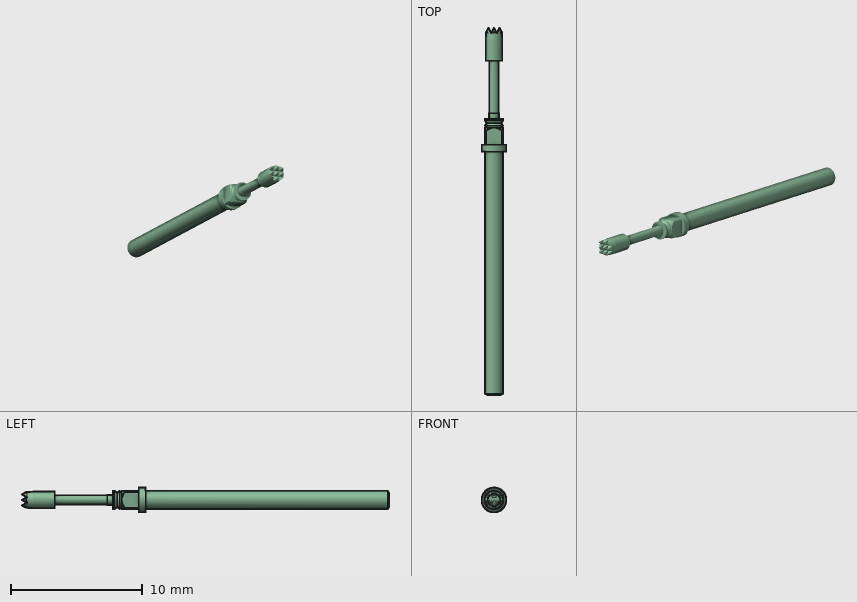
import cadquery as cq

LENGTH = 27.9
TIP_Y = LENGTH / 2

HEAD_RADIUS = 0.65
HEAD_END = 2.5
CROWN_LENGTH = 0.86
CROWN_TIP_RADIUS = 0.59
TOOTH_ROWS = 3
TOOTH_PITCH = 0.42
TOOTH_DEPTH = 0.4

STEM_RADIUS = 0.35
STEM_NECK_START = 6.5
STEM_NECK_RADIUS = 0.4

COLLAR_START = 6.92
COLLAR_RADIUS = 0.7
COLLAR_RIM_END = 7.03
WAIST_POSITION = 7.25
WAIST_RADIUS = 0.55
RIDGE_POSITION = 7.45
COLLAR_NECK_RADIUS = 0.6

SQUARE_START = 7.6
SQUARE_WIDTH = 1.4
SQUARE_CORNER_RADIUS = 0.92
SQUARE_LEAD_IN = SQUARE_CORNER_RADIUS - COLLAR_RADIUS

FLANGE_START = 8.87
FLANGE_END = 9.4
FLANGE_RADIUS = 0.95
BARREL_RADIUS = 0.7
BARREL_TAPER_LENGTH = 0.1
BARREL_END_RADIUS = 0.47


def revolve_profile(stations):
    """Revolve (distance from tip, radius) stations about the Y axis."""
    outline = [(radius, TIP_Y - distance) for distance, radius in stations]
    first_y = outline[0][1]
    last_y = outline[-1][1]
    points = [(0, first_y)] + outline + [(0, last_y)]
    return cq.Workplane("XY").polyline(points).close().revolve(360, (0, 0, 0), (0, 1, 0))


def make_plunger():
    """Tapered crown, head, stem and neck."""
    stations = [
        (0, CROWN_TIP_RADIUS),
        (CROWN_LENGTH, HEAD_RADIUS),
        (HEAD_END, HEAD_RADIUS),
        (HEAD_END, STEM_RADIUS),
        (STEM_NECK_START, STEM_RADIUS),
        (STEM_NECK_START, STEM_NECK_RADIUS),
        (COLLAR_START, STEM_NECK_RADIUS),
    ]
    return revolve_profile(stations)


def cut_teeth(plunger):
    """Cut crossing rows of V grooves, leaving a 3 x 3 grid of pyramid teeth."""
    first_valley = -TOOTH_ROWS * TOOTH_PITCH / 2
    for row in range(TOOTH_ROWS + 1):
        valley_x = first_valley + row * TOOTH_PITCH
        groove = (
            cq.Workplane("XY")
            .moveTo(valley_x - TOOTH_PITCH / 2, TIP_Y)
            .lineTo(valley_x, TIP_Y - TOOTH_DEPTH)
            .lineTo(valley_x + TOOTH_PITCH / 2, TIP_Y)
            .close()
            .extrude(2 * HEAD_RADIUS, both=True)
        )
        crossing_groove = groove.rotate((0, 0, 0), (0, 1, 0), 90)
        plunger = plunger.cut(groove).cut(crossing_groove)
    return plunger


def make_collar():
    """Rim, V-shaped waist and sharp ridge ahead of the square."""
    stations = [
        (COLLAR_START, COLLAR_RADIUS),
        (COLLAR_RIM_END, COLLAR_RADIUS),
        (WAIST_POSITION, WAIST_RADIUS),
        (RIDGE_POSITION, COLLAR_RADIUS),
        (RIDGE_POSITION, COLLAR_NECK_RADIUS),
        (SQUARE_START, COLLAR_NECK_RADIUS),
    ]
    return revolve_profile(stations)


def make_square():
    """Square section with rounded corners and a conical lead-in."""
    stations = [
        (SQUARE_START, COLLAR_RADIUS),
        (SQUARE_START + SQUARE_LEAD_IN, SQUARE_CORNER_RADIUS),
        (FLANGE_START, SQUARE_CORNER_RADIUS),
    ]
    prism = cq.Workplane("XY").box(SQUARE_WIDTH, LENGTH, SQUARE_WIDTH)
    return revolve_profile(stations).intersect(prism)


def make_barrel():
    """Stop flange and barrel with a tapered end."""
    stations = [
        (FLANGE_START, FLANGE_RADIUS),
        (FLANGE_END, FLANGE_RADIUS),
        (FLANGE_END, BARREL_RADIUS),
        (LENGTH - BARREL_TAPER_LENGTH, BARREL_RADIUS),
        (LENGTH, BARREL_END_RADIUS),
    ]
    return revolve_profile(stations)


plunger = cut_teeth(make_plunger())
result = plunger.union(make_collar()).union(make_square()).union(make_barrel())